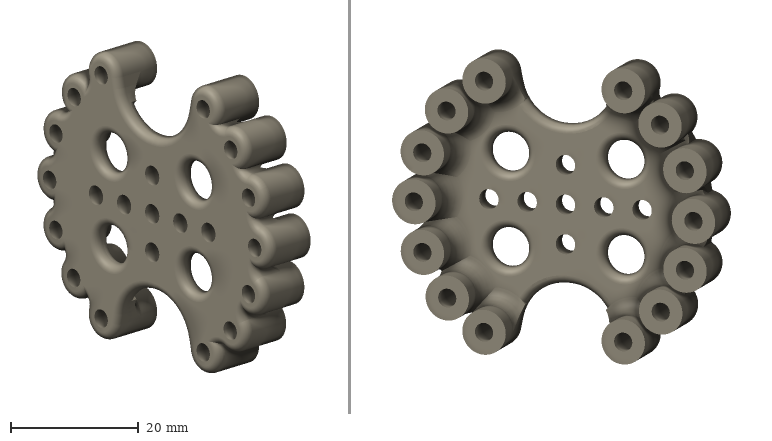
import cadquery as cq
import math

plate_thickness = 3.0
edge_round = 1.35

joint_overlap = 0.02

lobe_length = 8.7
lobe_radius = 3.6
lobe_ring_radius = 23.175
lobe_hole_diameter = 3.0
root_radius = 2.5
right_lobe_angles = (-60.15, -40.45, -20.2, 0.0, 20.0, 40.0, 60.15)
left_lobe_angles = tuple(angle + 180 for angle in right_lobe_angles)

gap_radius = 2.0
right_gap_tangent_to_first = (False, True, True, True, True, True)
left_gap_tangent_to_first = (True, False, False, False, False, False)
web_rise = 1.23
left_web_neighbours = {2: (1, 3), 4: (3, 5), 5: (6,)}

cutout_radius = 7.6
cutout_floor = 12.72
cutout_flat = 0.3

grid_pitch = 6.35
grid_hole_diameter = 3.2
large_hole_diameter = 6.3
large_hole_x = 9.55
large_hole_z = 7.625


def polar(radius, degrees, center=(0.0, 0.0)):
    angle = math.radians(degrees)
    return (center[0] + radius * math.cos(angle), center[1] + radius * math.sin(angle))


def direction(start, end):
    return math.degrees(math.atan2(end[1] - start[1], end[0] - start[0]))


def midpoint(a, b):
    return ((a[0] + b[0]) / 2, (a[1] + b[1]) / 2)


def arc_middle(center, start, end):
    """Middle point of the shorter arc from start to end."""
    return polar(math.dist(center, start), direction(center, midpoint(start, end)), center)


def lobe_center(angle):
    return polar(lobe_ring_radius, angle)


def extrude_y(sketch, y_start, y_end):
    """Extrude a closed XZ outline from one Y position to a higher one."""
    return sketch.extrude(y_start - y_end).translate((0, y_start, 0))


def gap_arc(tangent_angle, other_angle):
    """Start, middle and end of the gap arc, ending deep inside the other lobe."""
    reach = lobe_radius - joint_overlap + gap_radius
    center_ring = lobe_ring_radius + gap_radius
    cosine = (lobe_ring_radius**2 + center_ring**2 - reach**2) / (2 * lobe_ring_radius * center_ring)
    side = math.copysign(1, other_angle - tangent_angle)
    center = polar(center_ring, tangent_angle + side * math.degrees(math.acos(cosine)))
    start = polar(gap_radius, direction(center, lobe_center(tangent_angle)), center)
    end = polar(gap_radius, direction(center, lobe_center(other_angle)), center)
    return start, arc_middle(center, start, end), end


def cutout_half():
    """Right half of the top cutout: lobe tangent, then arc start, middle and end."""
    lobe = lobe_center(right_lobe_angles[-1])
    center = (cutout_flat / 2, cutout_floor + cutout_radius)
    tangent_radius = lobe_radius - joint_overlap
    spread = math.degrees(math.acos((tangent_radius + cutout_radius) / math.dist(lobe, center)))
    normal = direction(center, lobe) - spread
    lobe_tangent = polar(tangent_radius, normal + 180, lobe)
    arc_start = polar(cutout_radius, normal, center)
    arc_end = (center[0], cutout_floor)
    return lobe_tangent, arc_start, arc_middle(center, arc_start, arc_end), arc_end


def gap_arcs(angles, tangent_to_first):
    """All gap arcs of one side, each as three points in counterclockwise order of the lobes."""
    arcs = []
    for first, second, first_is_tangent in zip(angles, angles[1:], tangent_to_first):
        if first_is_tangent:
            arcs.append(gap_arc(first, second))
        else:
            arcs.append(gap_arc(second, first)[::-1])
    return arcs


right_gaps = gap_arcs(right_lobe_angles, right_gap_tangent_to_first)
left_gaps = gap_arcs(left_lobe_angles, left_gap_tangent_to_first)


def draw_gaps(sketch, angles, arcs):
    """From the first lobe's centre of one side to the last lobe's centre."""
    for angle, (start, middle, end) in zip(angles[1:], arcs):
        sketch = sketch.lineTo(*start).threePointArc(middle, end).lineTo(*lobe_center(angle))
    return sketch


def draw_cutout(sketch, side):
    """Across the top cutout (side 1) or, half a turn later, the bottom one (side -1)."""
    right = [(side * x, side * z) for x, z in cutout_half()]
    left = [(-x, z) for x, z in right]
    sketch = sketch.lineTo(*right[0]).lineTo(*right[1]).threePointArc(right[2], right[3])
    return sketch.lineTo(*left[3]).threePointArc(left[2], left[1]).lineTo(*left[0])


def core_outline():
    """Plate without the lobes; its corners are the lobe centres."""
    sketch = cq.Workplane("XZ").moveTo(*lobe_center(right_lobe_angles[0]))
    sketch = draw_gaps(sketch, right_lobe_angles, right_gaps)
    sketch = draw_cutout(sketch, 1).lineTo(*lobe_center(left_lobe_angles[0]))
    sketch = draw_gaps(sketch, left_lobe_angles, left_gaps)
    return draw_cutout(sketch, -1).close()


def edges_through(body, points, y):
    """Edges of the body that pass through the given XZ points at height y."""
    vertices = [cq.Vertex.makeVertex(x, y, z) for x, z in points]
    tolerance = 1e-4
    touching = [e for e in body.edges().vals() if any(e.distance(v) < tolerance for v in vertices)]
    return body.newObject(touching)


def make_core():
    core = extrude_y(core_outline(), 0, plate_thickness)
    floors = [(0, cutout_floor), (0, -cutout_floor)]
    gap_middles = [middle for _, middle, _ in right_gaps + left_gaps]
    core = edges_through(core, gap_middles + floors, 0).fillet(edge_round)
    core = edges_through(core, floors, plate_thickness).fillet(edge_round)
    centers = [(sx * large_hole_x, sz * large_hole_z) for sx in (-1, 1) for sz in (-1, 1)]
    holes = cq.Workplane("XZ").pushPoints(centers).circle(large_hole_diameter / 2)
    core = core.cut(extrude_y(holes, 0, plate_thickness))
    rims = [(x + large_hole_diameter / 2, z) for x, z in centers]
    for y in (0, plate_thickness):
        core = edges_through(core, rims, y).fillet(edge_round)
    return core


def make_lobe(angle):
    x, z = lobe_center(angle)
    lobe = extrude_y(cq.Workplane("XZ").circle(lobe_radius), 0, lobe_length)
    lobe = lobe.faces("<Y").edges().fillet(edge_round)
    return lobe.rotate((0, 0, 0), (0, 1, 0), -90).translate((x, 0, z))


def make_root(angle):
    """Lobe foot that flares out to the plate back with a concave fillet."""
    x, z = lobe_center(angle)
    foot_radius = lobe_radius - joint_overlap + root_radius
    top = plate_thickness + root_radius
    sag = root_radius * math.sqrt(0.5)
    profile = (
        cq.Workplane("XY").moveTo(0, edge_round).lineTo(foot_radius, edge_round)
        .lineTo(foot_radius, plate_thickness)
        .threePointArc((foot_radius - sag, top - sag), (foot_radius - root_radius, top))
        .lineTo(0, top).close()
    )
    return profile.revolve(360, (0, 0, 0), (0, 1, 0)).translate((x, 0, z))


def make_web_column(first, second):
    """Column that fills the gap between two lobes, flat on the outside."""
    lobes = [lobe_center(first), lobe_center(second)]
    middle = midpoint(*lobes)
    outward = direction((0, 0), middle)
    rise = polar(web_rise, outward)
    sketch = cq.Workplane("XZ").moveTo(*polar(lobe_ring_radius - 2 * lobe_radius, outward))
    sketch = sketch.lineTo(*lobes[0])
    for corner in (midpoint(lobes[0], middle), midpoint(lobes[1], middle)):
        sketch = sketch.lineTo(corner[0] + rise[0], corner[1] + rise[1])
    sketch = sketch.lineTo(*lobes[1]).close()
    return extrude_y(sketch, edge_round, plate_thickness + root_radius)


def make_trimmed_roots():
    """All lobe feet, trimmed to the plate outline and the web columns."""
    plate_column = extrude_y(core_outline(), edge_round, plate_thickness + root_radius)
    roots = [make_root(angle).intersect(plate_column) for angle in right_lobe_angles]
    for index, angle in enumerate(left_lobe_angles):
        column = plate_column
        for neighbour in left_web_neighbours.get(index, ()):
            column = column.union(make_web_column(angle, left_lobe_angles[neighbour]))
        roots.append(make_root(angle).intersect(column))
    return roots


def make_small_holes():
    grid = [(column * grid_pitch, 0) for column in range(-2, 3)]
    grid += [(0, row * grid_pitch) for row in (-1, 1)]
    lobes = [lobe_center(angle) for angle in right_lobe_angles + left_lobe_angles]
    grid_holes = cq.Workplane("XZ").pushPoints(grid).circle(grid_hole_diameter / 2)
    lobe_holes = cq.Workplane("XZ").pushPoints(lobes).circle(lobe_hole_diameter / 2)
    return extrude_y(grid_holes, 0, lobe_length).union(extrude_y(lobe_holes, 0, lobe_length))


part = make_core()
for root in make_trimmed_roots():
    part = part.union(root)
for lobe_angle in right_lobe_angles + left_lobe_angles:
    part = part.union(make_lobe(lobe_angle))
result = part.cut(make_small_holes())